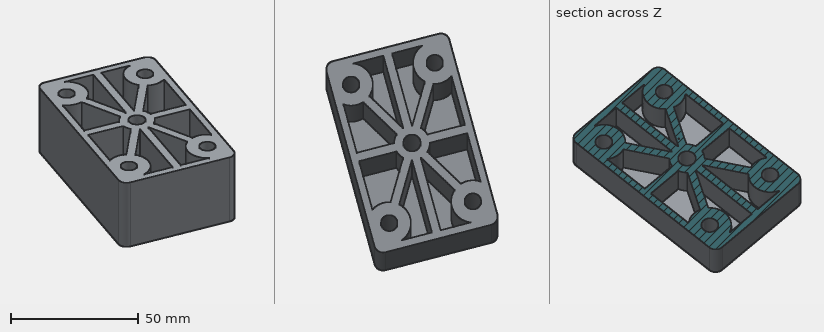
import cadquery as cq
import math

length = 80.0
width = 50.0
height = 30.0
corner_radius = 3.5

cavity_length = 74.0
cavity_width = 44.0
floor_thickness = (length - cavity_length) / 2
cavity_depth = height - floor_thickness

hole_spacing_x = 58.0
hole_spacing_y = 34.0
boss_diameter = 17.0
mounting_hole_diameter = 6.5

corner_pad_length = cavity_length - hole_spacing_x
corner_pad_width = cavity_width - hole_spacing_y

hub_diameter = 14.0
hub_hole_diameter = 6.8

rib_thickness = 3.5
diagonal_angle = math.degrees(math.atan2(hole_spacing_y, hole_spacing_x))
diagonal_length = math.hypot(hole_spacing_x, hole_spacing_y)


def on_floor():
    """Workplane on the cavity floor, centred on the block."""
    return cq.Workplane("XY").workplane(offset=floor_thickness)


def at_corners(workplane, spacing_x, spacing_y):
    """Select the four corners of a centred rectangle on a workplane."""
    return workplane.rect(spacing_x, spacing_y, forConstruction=True).vertices()


def make_cavity():
    """Full space inside the outer wall, above the floor."""
    return on_floor().rect(cavity_length, cavity_width).extrude(cavity_depth)


def make_bosses():
    """Round corner bosses joined to the wall corners, trimmed to the cavity."""
    bosses = at_corners(on_floor(), hole_spacing_x, hole_spacing_y)
    bosses = bosses.circle(boss_diameter / 2).extrude(cavity_depth)
    pads = at_corners(on_floor(), cavity_length, cavity_width)
    pads = pads.rect(corner_pad_length, corner_pad_width).extrude(cavity_depth)
    return bosses.union(pads).intersect(make_cavity())


def make_hub():
    """Solid round hub at the block centre."""
    return on_floor().circle(hub_diameter / 2).extrude(cavity_depth)


def make_rib(rib_length, angle):
    """Rib from floor to rim through the block centre, turned about Z."""
    rib = on_floor().rect(rib_length, rib_thickness).extrude(cavity_depth)
    return rib.rotate((0, 0, 0), (0, 0, 1), angle)


body = cq.Workplane("XY").box(length, width, height, centered=(True, True, False))
body = body.edges("|Z").fillet(corner_radius)
body = body.cut(make_cavity())

body = body.union(make_bosses())
body = body.union(make_hub())

body = body.union(make_rib(cavity_length, 0))
body = body.union(make_rib(cavity_width, 90))
for angle in (diagonal_angle, -diagonal_angle):
    body = body.union(make_rib(diagonal_length, angle))

top_center = (0, 0, height)
boss_tops = body.faces(">Z").workplane(origin=top_center)
body = at_corners(boss_tops, hole_spacing_x, hole_spacing_y).hole(mounting_hole_diameter)
body = body.faces(">Z").workplane(origin=top_center).hole(hub_hole_diameter)

result = body